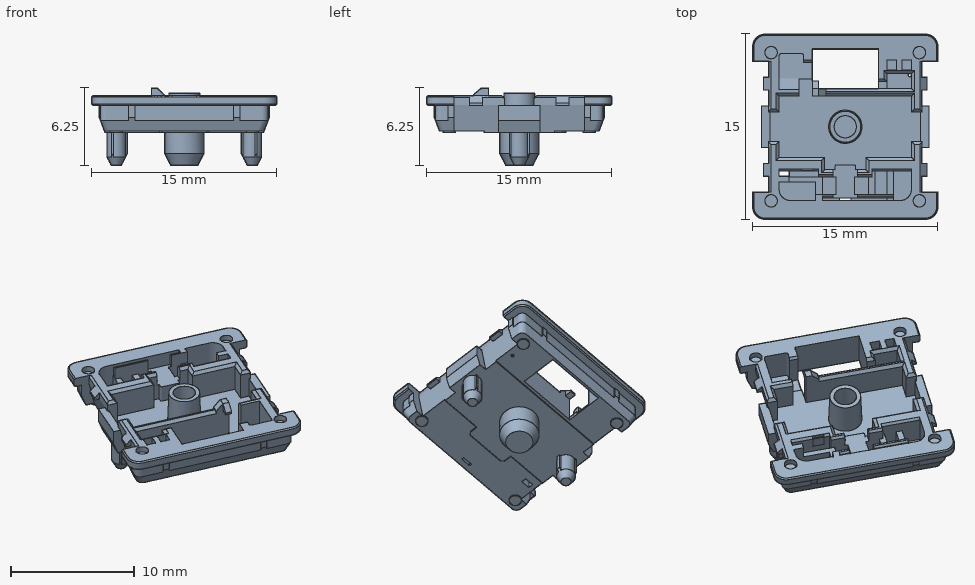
import cadquery as cq
import math


seat_z = 0.0
underside_z = 0.12
floor_z = 0.5
low_floor_z = 0.3
ledge_z = 1.9
flange_bottom_z = 2.2
flange_top_z = 3.0
hook_top_z = 3.6
tube_top_z = 3.2
pin_tip_z = -2.65

flange_size = 15.0
flange_corner_radius = 1.0
flange_chamfer = 0.1
body_half = 6.8
body_foot_half = 6.42
body_corner_radius = 0.5
body_taper_top_z = 0.99
body_rib_reach = 0.09
body_rib_x = (3.99, 4.5)
body_rib_y = (5.3, 5.78)

side_gap_half = 5.3
side_wall_top_x = 6.21
side_wall_foot_x = 5.75
wall_bevel = 0.18
cavity_bevel = 0.24
sill_half = 1.7
sill_inner_x = 6.09
window_half = 1.18
latch_y = (2.97, 4.02)
latch_x = 6.63

cavity_half = 5.35
cavity_front_y = -2.48
cavity_step_half = 1.66
cavity_step_y = -3.48
rib_front_y = 2.48
rib_back_y = 3.09

opening_half = 2.67
opening_back_top_y = 6.35
opening_back_foot_y = 6.27

hook_flat_end_x = -2.16
hook_ramp_end_x = -1.58
hook_tip_y = 3.7
hook_tip_bottom_z = 2.9
hook_tip_top_z = 3.08

stub_end_x = -3.75
stub_back_y = 3.03
back_step_y = 3.88
pillar_left_x = -3.38
pillar_front_y = 5.2
back_left_pocket_y = 5.92
back_left_fillet = 0.2

back_right_x = 3.38
back_right_front_y = 3.65
back_right_back_y = 4.3
vent_diameter = 0.25
vent_center = (5.22, 4.18)
square_pocket_y = (4.6, 5.42)
square_pockets_x = ((3.38, 4.14), (4.6, 5.35))

front_wall_y = -3.58
stem_wall_y = -4.05
front_limit_y = -5.97
front_rib_y = -5.48
front_slot_y = -5.78
front_slot_bevel = 0.15
front_corner_radius = 0.9
channel_half = 1.0
nose_half = 0.82
nose_y = -3.09
nose_fillet = 0.12
bay_inner_x = 0.75
bay_outer_x = 1.86
front_wall_end_x = 2.16
ledge_outer_x = 2.4
left_block_x = -4.55
left_block_y = (-4.48, -4.0)
right_block_x = (3.38, 3.88)
front_slit_half = 0.45
wall_slot_x = (-3.55, -2.62)
wall_slot_y = (-3.54, -3.42)

blind_hole_diameter = 1.0
blind_hole_depth = 0.5
blind_hole_offset = 6.0
tube_base_diameter = 2.7
tube_top_diameter = 2.5
tube_bore_diameter = 1.8
post_diameter = 3.2
post_tip_diameter = 2.2
pin_taper_z = -1.7
pin_offset = 5.5
pin_core_radius = 0.76
pin_rib_radius = 0.9
pin_tip_radius = 0.4
pin_side_rib_x = (-0.39, -0.22)
pin_side_rib_reach = 0.81
pin_inner_rib_half = 0.14
foot_diameter = 1.0
foot_offset = (5.5, 5.65)

pad_half_y = 2.85
pad_tab_half_x = 2.01
pad_tab_y = -3.78
pad_tab_chamfer = 0.22


def block(x_range, y_range, z_range):
    """Axis-aligned box between the given limits."""
    return (
        cq.Workplane("XY")
        .box(
            x_range[1] - x_range[0],
            y_range[1] - y_range[0],
            z_range[1] - z_range[0],
            centered=False,
        )
        .translate((x_range[0], y_range[0], z_range[0]))
    )


def pocket(x_range, y_range, bottom_z):
    """Box cutter from bottom_z up to the flange top."""
    return block(x_range, y_range, (bottom_z, flange_top_z))


def mirror_x(shape):
    """The shape together with its mirror image across the YZ plane."""
    return shape.union(shape.mirror("YZ"))


def mirror_y(shape):
    """The shape together with its mirror image across the XZ plane."""
    return shape.union(shape.mirror("XZ"))


def profile_along_y(points, y_range):
    """Prism of an XZ outline between two Y places."""
    return (
        cq.Workplane("XZ", origin=(0, y_range[1], 0))
        .polyline(points)
        .close()
        .extrude(y_range[1] - y_range[0])
    )


def profile_along_x(points, x_range):
    """Prism of a YZ outline between two X places."""
    return (
        cq.Workplane("YZ", origin=(x_range[0], 0, 0))
        .polyline(points)
        .close()
        .extrude(x_range[1] - x_range[0])
    )


def flared_pocket(points, bottom_z):
    """Cutter with straight walls that open out at 45 degrees at the rim."""
    rim_z = flange_top_z - cavity_bevel
    height = flange_top_z - bottom_z
    straight = cq.Workplane("XY").workplane(offset=bottom_z).polyline(points).close().extrude(height)
    foot = cq.Workplane("XY").workplane(offset=rim_z).polyline(points).close()
    rim = cq.Workplane("XY").workplane(offset=flange_top_z).polyline(points).close()
    rim = rim.offset2D(cavity_bevel, "intersection")
    flare = cq.Solid.makeLoft([foot.wire().val(), rim.wire().val()], True)
    return straight.union(cq.Workplane(flare))


def rim_bevel(x_range, face_y, size):
    """Wedge that bevels the top edge of a wall; size is signed, toward the wall."""
    edge = [
        (face_y, flange_top_z),
        (face_y + size, flange_top_z),
        (face_y, flange_top_z - abs(size)),
    ]
    return profile_along_x(edge, x_range)


def make_flange():
    plate = (
        cq.Workplane("XY")
        .workplane(offset=flange_bottom_z)
        .rect(flange_size, flange_size)
        .extrude(flange_top_z - flange_bottom_z)
        .edges("|Z")
        .fillet(flange_corner_radius)
    )
    return plate.faces(">Z or <Z").chamfer(flange_chamfer)


def rounded_square(half):
    """Body outline of the given half width."""
    return cq.Sketch().rect(2 * half, 2 * half).vertices().fillet(body_corner_radius)


def make_body():
    """Upright block on a tapered foot, with short ribs that carry the taper upward."""
    upper = (
        cq.Workplane("XY")
        .workplane(offset=body_taper_top_z)
        .placeSketch(rounded_square(body_half))
        .extrude(flange_bottom_z - body_taper_top_z)
    )
    foot = rounded_square(body_foot_half)
    shoulder = rounded_square(body_half).moved(cq.Location(cq.Vector(0, 0, body_taper_top_z)))
    lower = cq.Workplane("XY").placeSketch(foot, shoulder).loft()

    slope = (body_half - body_foot_half) / body_taper_top_z
    rib_face = body_half + body_rib_reach
    rib = [
        (cavity_half, seat_z),
        (body_foot_half, seat_z),
        (rib_face, body_taper_top_z + body_rib_reach / slope),
        (rib_face, flange_bottom_z),
        (cavity_half, flange_bottom_z),
    ]
    ribs = profile_along_y(rib, body_rib_y).union(profile_along_x(rib, body_rib_x))
    return upper.union(lower).union(mirror_y(mirror_x(ribs)))


def side_gap_cutter():
    """Space outside the side walls: bevelled rim, upright band, then undercut."""
    outer_x = flange_size / 2
    outline = [
        (side_wall_top_x - wall_bevel, flange_top_z),
        (side_wall_top_x, flange_top_z - wall_bevel),
        (side_wall_top_x, flange_bottom_z),
        (side_wall_foot_x, seat_z),
        (outer_x, seat_z),
        (outer_x, flange_top_z),
    ]
    return mirror_x(profile_along_y(outline, (-side_gap_half, side_gap_half)))


def make_sills():
    outline = [
        (cavity_half, seat_z),
        (body_foot_half, seat_z),
        (body_half, body_taper_top_z),
        (body_half, flange_bottom_z),
        (cavity_half, flange_bottom_z),
    ]
    return mirror_x(profile_along_y(outline, (-sill_half, sill_half)))


def make_latches():
    """Four ramps that carry the rim bevel of the side walls outward."""
    rim_x = side_wall_top_x - wall_bevel
    outline = [
        (rim_x, flange_bottom_z),
        (latch_x, flange_bottom_z),
        (latch_x, flange_top_z - (latch_x - rim_x)),
        (rim_x, flange_top_z),
    ]
    return mirror_y(mirror_x(profile_along_y(outline, latch_y)))


def underside_cutter():
    """Relief that leaves a central seating pad with a front tab."""
    relief = block((-body_half, body_half), (-body_half, body_half), (seat_z, underside_z))
    pad = block((-body_half, body_half), (-pad_half_y, pad_half_y), (seat_z, underside_z))
    tab = block((-pad_tab_half_x, pad_tab_half_x), (pad_tab_y, 0), (seat_z, underside_z))
    tab = tab.edges("|Z and <Y").chamfer(pad_tab_chamfer)
    return relief.cut(pad).cut(tab)


def main_cavity_cutter():
    half_outline = [
        (cavity_step_half, cavity_step_y),
        (cavity_step_half, cavity_front_y),
        (cavity_half, cavity_front_y),
        (cavity_half, -window_half),
        (flange_size / 2, -window_half),
        (flange_size / 2, window_half),
        (cavity_half, window_half),
        (cavity_half, rib_front_y),
    ]
    outline = half_outline + [(-x, y) for x, y in reversed(half_outline)]
    cavity = flared_pocket(outline, floor_z)
    sill = block(
        (sill_inner_x, flange_size / 2 + cavity_bevel),
        (-window_half, window_half),
        (floor_z, flange_bottom_z),
    )
    return cavity.cut(mirror_x(sill))


def opening_cutter():
    """Through opening behind the rib, with a drafted back wall."""
    outline = [
        (rib_back_y, seat_z),
        (opening_back_foot_y, seat_z),
        (opening_back_top_y, flange_top_z),
        (rib_back_y, flange_top_z),
    ]
    return profile_along_x(outline, (-opening_half, opening_half))


def back_left_cutter():
    left = -cavity_half
    recess = pocket((left, pillar_left_x), (back_step_y, back_left_pocket_y), low_floor_z)
    recess = recess.edges("|Z and >Y").fillet(back_left_fillet)
    shape = recess.union(
        pocket((pillar_left_x, -opening_half), (back_step_y, pillar_front_y), low_floor_z)
    )
    shape = shape.union(pocket((left, -opening_half), (stub_back_y, back_step_y), floor_z))
    shape = shape.union(pocket((stub_end_x, -opening_half), (rib_front_y, stub_back_y), floor_z))
    ramp = [
        (stub_back_y, floor_z),
        (back_step_y, floor_z),
        (back_step_y, low_floor_z),
    ]
    shape = shape.union(profile_along_x(ramp, (left, stub_end_x)))
    return shape.union(rim_bevel((pillar_left_x, -opening_half), pillar_front_y, wall_bevel))


def back_right_cutter():
    outline = [
        (hook_ramp_end_x, rib_back_y),
        (cavity_half, rib_back_y),
        (cavity_half, back_right_back_y),
        (back_right_x, back_right_back_y),
        (back_right_x, back_right_front_y),
        (hook_ramp_end_x, back_right_front_y),
    ]
    shape = flared_pocket(outline, floor_z)
    deep = pocket((back_right_x, cavity_half), (rib_back_y, back_right_back_y), low_floor_z)
    shape = shape.union(deep)
    for x_range in square_pockets_x:
        shape = shape.union(pocket(x_range, square_pocket_y, floor_z))
    vent = cq.Workplane("XY").center(*vent_center).circle(vent_diameter / 2).extrude(floor_z)
    return shape.union(vent)


def make_hook():
    """Rib end that rises above the flange, with a nose over the opening."""
    start_x = -opening_half
    outline = [
        (start_x, floor_z),
        (hook_ramp_end_x, floor_z),
        (hook_ramp_end_x, flange_top_z),
        (hook_flat_end_x, hook_top_z),
        (start_x, hook_top_z),
    ]
    post = profile_along_y(outline, (rib_front_y, rib_back_y))
    nose = [
        (rib_back_y, hook_tip_bottom_z),
        (hook_tip_y, hook_tip_bottom_z),
        (hook_tip_y, hook_tip_top_z),
        (rib_back_y, hook_top_z),
    ]
    return post.union(profile_along_x(nose, (start_x, hook_flat_end_x)))


def front_cutter():
    """Pockets along the front edge, on both sides of the central channel."""
    across = (front_limit_y, front_wall_y)
    bay_y = (front_rib_y, stem_wall_y)
    right_x = right_block_x[1]

    shape = pocket((-channel_half, channel_half), (front_slot_y, cavity_step_y), ledge_z)
    shape = shape.union(mirror_x(pocket((bay_inner_x, bay_outer_x), bay_y, floor_z)))
    shape = shape.union(mirror_x(pocket((bay_outer_x, ledge_outer_x), bay_y, ledge_z)))

    corner = pocket((-cavity_half, -ledge_outer_x), (front_limit_y, left_block_y[0]), floor_z)
    shape = shape.union(corner.edges("|Z and <X and <Y").fillet(front_corner_radius))
    strip_y = (stem_wall_y, front_wall_y)
    shape = shape.union(pocket((left_block_x, -front_wall_end_x), strip_y, floor_z))
    ledge_x = (left_block_x, -bay_outer_x)
    shape = shape.union(pocket(ledge_x, (left_block_y[0], stem_wall_y), ledge_z))
    through_y = (left_block_y[1], front_wall_y)
    shape = shape.union(pocket((-cavity_half, left_block_x), through_y, seat_z))

    right_y = (front_rib_y, front_wall_y)
    shape = shape.union(pocket((front_wall_end_x, ledge_outer_x), right_y, ledge_z))
    shape = shape.union(pocket((ledge_outer_x, right_block_x[0]), right_y, floor_z))
    shape = shape.union(pocket(right_block_x, right_y, ledge_z))
    corner = pocket((right_x, cavity_half), across, floor_z)
    shape = shape.union(corner.edges("|Z and >X and <Y").fillet(front_corner_radius))

    slot_y = (front_limit_y, front_slot_y)
    shape = shape.union(pocket((-bay_outer_x, right_block_x[0]), slot_y, floor_z))
    shape = shape.union(pocket(right_block_x, slot_y, ledge_z))
    shape = shape.union(pocket((-front_slit_half, front_slit_half), slot_y, seat_z))

    shape = shape.union(mirror_x(rim_bevel((front_wall_end_x, cavity_half), front_wall_y, wall_bevel)))
    shape = shape.union(mirror_x(rim_bevel((channel_half, front_wall_end_x), stem_wall_y, wall_bevel)))
    shape = shape.union(rim_bevel((-bay_outer_x, right_x), front_slot_y, front_slot_bevel))
    return shape.union(pocket(wall_slot_x, wall_slot_y, ledge_z))


def make_channel_nose():
    """Rounded step that carries the channel floor into the main cavity."""
    nose = block((-nose_half, nose_half), (cavity_step_y, nose_y), (floor_z, ledge_z))
    return nose.edges("|Z and >Y").fillet(nose_fillet)


def blind_hole_cutter():
    hole = (
        cq.Workplane("XY")
        .workplane(offset=flange_top_z - blind_hole_depth)
        .rect(2 * blind_hole_offset, 2 * blind_hole_offset, forConstruction=True)
        .vertices()
        .circle(blind_hole_diameter / 2)
        .extrude(blind_hole_depth)
    )
    return hole


def round_bar(outline):
    """Solid of revolution about Z from (radius, z) points."""
    return cq.Workplane("XZ").polyline(outline).close().revolve(360, (0, 0), (0, 1))


def make_tube():
    return round_bar(
        [
            (tube_bore_diameter / 2, floor_z),
            (tube_base_diameter / 2, floor_z),
            (tube_top_diameter / 2, tube_top_z),
            (tube_bore_diameter / 2, tube_top_z),
        ]
    )


def tapered_pin(radius, tip_radius):
    """Downward pin with a conical tip, rooted in the floor."""
    return round_bar(
        [
            (0, underside_z),
            (radius, underside_z),
            (radius, pin_taper_z),
            (tip_radius, pin_tip_z),
            (0, pin_tip_z),
        ]
    )


def make_side_pin():
    """Locating pin with three crush ribs, placed on the -X side."""
    height = (pin_tip_z, underside_z)
    core = cq.Workplane("XY").workplane(offset=pin_tip_z).circle(pin_core_radius)
    core = core.extrude(underside_z - pin_tip_z)
    side_ribs = block(pin_side_rib_x, (-pin_side_rib_reach, pin_side_rib_reach), height)
    inner_rib = block((0, pin_rib_radius), (-pin_inner_rib_half, pin_inner_rib_half), height)
    pin = core.union(side_ribs).union(inner_rib)
    pin = pin.intersect(tapered_pin(pin_rib_radius, pin_tip_radius))
    return pin.translate((-pin_offset, 0, 0))


def make_feet():
    foot = cq.Workplane("XY").center(*foot_offset).circle(foot_diameter / 2).extrude(underside_z)
    return mirror_y(mirror_x(foot))


housing = make_flange().union(make_body()).cut(side_gap_cutter())
housing = housing.union(make_sills()).union(make_latches())
housing = housing.cut(underside_cutter())

housing = housing.cut(main_cavity_cutter())
housing = housing.cut(opening_cutter())
housing = housing.cut(back_left_cutter())
housing = housing.cut(back_right_cutter())
housing = housing.cut(front_cutter())
housing = housing.cut(blind_hole_cutter())

housing = housing.union(make_hook()).union(make_channel_nose()).union(make_tube())
housing = housing.union(tapered_pin(post_diameter / 2, post_tip_diameter / 2))
housing = housing.union(mirror_x(make_side_pin()))
result = housing.union(make_feet())